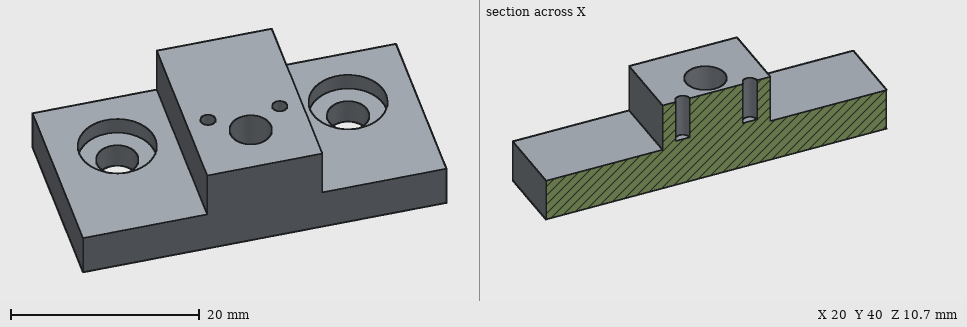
import cadquery as cq

length_x = 20.0
length_y = 40.0
base_height = 5.0

total_height = 10.67
block_width = 12.67

mount_x = -2.7
mount_spacing = 25.4
mount_diameter = 4.5
counterbore_diameter = 8.38
counterbore_depth = 2.0

block_hole_x = 4.45
block_hole_diameter = 4.5

pin_x = 1.75
pin_spacing = 7.9
pin_diameter = 1.6
pin_depth = 5.0


def mirrored_points(x, spacing):
    """Two points at the same X, placed evenly about Y = 0."""
    return [(x, -spacing / 2), (x, spacing / 2)]


def vertical_cylinders(points, diameter, bottom, top):
    """Cutting cylinders along Z between two heights."""
    base = cq.Workplane("XY", origin=(0, 0, bottom))
    return base.pushPoints(points).circle(diameter / 2).extrude(top - bottom)


def make_body():
    """Plate with the raised block, standing on Z = 0."""
    plate = cq.Workplane("XY").box(length_x, length_y, base_height, centered=(True, True, False))
    block = cq.Workplane("XY").box(length_x, block_width, total_height, centered=(True, True, False))
    return plate.union(block)


def cut_mounting_holes(body):
    points = mirrored_points(mount_x, mount_spacing)
    holes = vertical_cylinders(points, mount_diameter, 0, base_height)
    counterbores = vertical_cylinders(
        points, counterbore_diameter, base_height - counterbore_depth, base_height
    )
    return body.cut(holes).cut(counterbores)


def cut_block_hole(body):
    return body.cut(vertical_cylinders([(block_hole_x, 0)], block_hole_diameter, 0, total_height))


def cut_pin_holes(body):
    points = mirrored_points(pin_x, pin_spacing)
    return body.cut(vertical_cylinders(points, pin_diameter, total_height - pin_depth, total_height))


result = cut_pin_holes(cut_block_hole(cut_mounting_holes(make_body())))